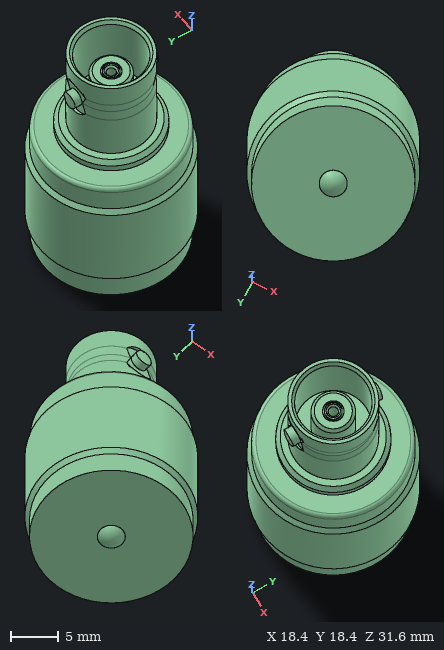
import cadquery as cq
import math

overall_height = 31.63
dome_height = 0.75
rim_lower_top = 3.73
sleeve_top = 15.75
body_top = 19.05
collar_top = 20.37
groove_center = 27.45

sleeve_radius = 9.2
rim_radius = 8.7
rim_step = sleeve_radius - rim_radius
body_edge_fillet = 0.47
dome_base_radius = 1.5

collar_radius = 6.15
collar_chamfer = 0.5

barrel_radius = 4.85
groove_half_width = 1.3
groove_depth = 0.15

socket_radius = 4.1
socket_depth = 8.22
mouth_chamfer_width = 0.32
mouth_chamfer_height = 0.4

insulator_radius = 2.37
insulator_recess = 3.13
insulator_chamfer = 0.35
insulator_bore_radius = 1.15
contact_gap = 0.2
contact_radius = insulator_bore_radius - contact_gap
contact_bore_radius = 0.55
countersink_size = 0.22
contact_bore_depth = 3.8

lug_radius = 1.0
lug_reach = 5.55
lug_flat_radius = 2.12
lug_flat_rim_radius = 2.25
lug_flat_offset = 4.55


def disc(radius, bottom, top):
    return cq.Workplane("XY").workplane(offset=bottom).circle(radius).extrude(top - bottom)


def make_outside():
    """Turned outside shape, from the domed tip up to the mouth of the barrel."""
    dome_radius = (dome_base_radius**2 + dome_height**2) / (2 * dome_height)
    dome_mid_angle = math.asin(dome_base_radius / dome_radius) / 2
    dome_mid = (
        dome_radius * math.sin(dome_mid_angle),
        dome_radius * (1 - math.cos(dome_mid_angle)),
    )
    fillet_inset = body_edge_fillet * (1 - math.sqrt(0.5))
    profile = (
        cq.Workplane("XZ")
        .moveTo(0, 0)
        .threePointArc(dome_mid, (dome_base_radius, dome_height))
        .lineTo(rim_radius, dome_height)
        .lineTo(rim_radius, rim_lower_top)
        .lineTo(sleeve_radius, rim_lower_top + rim_step)
        .lineTo(sleeve_radius, sleeve_top - rim_step)
        .lineTo(rim_radius, sleeve_top)
        .lineTo(rim_radius, body_top - body_edge_fillet)
        .threePointArc(
            (rim_radius - fillet_inset, body_top - fillet_inset),
            (rim_radius - body_edge_fillet, body_top),
        )
        .lineTo(collar_radius, body_top)
        .lineTo(collar_radius, collar_top - collar_chamfer)
        .lineTo(collar_radius - collar_chamfer, collar_top)
        .lineTo(barrel_radius, collar_top)
        .lineTo(barrel_radius, groove_center - groove_half_width)
        .lineTo(barrel_radius - groove_depth, groove_center)
        .lineTo(barrel_radius, groove_center + groove_half_width)
        .lineTo(barrel_radius, overall_height)
        .lineTo(0, overall_height)
        .close()
    )
    return profile.revolve(360, (0, 0, 0), (0, 1, 0))


def make_socket():
    """Space to remove from the barrel, with a tapered mouth."""
    profile = (
        cq.Workplane("XZ")
        .moveTo(0, overall_height - socket_depth)
        .lineTo(socket_radius, overall_height - socket_depth)
        .lineTo(socket_radius, overall_height - mouth_chamfer_height)
        .lineTo(socket_radius + mouth_chamfer_width, overall_height)
        .lineTo(0, overall_height)
        .close()
    )
    return profile.revolve(360, (0, 0, 0), (0, 1, 0))


def make_insulator():
    """Insulator post with a bored contact flush in its end, set apart by a ring groove."""
    foot = overall_height - socket_depth
    tip = overall_height - insulator_recess
    gap_floor = tip - contact_gap
    post = disc(insulator_radius, foot, tip).faces(">Z").edges().chamfer(insulator_chamfer)
    seat = disc(insulator_bore_radius, gap_floor, tip)
    contact = disc(contact_radius, gap_floor, tip)
    bore = disc(contact_bore_radius, tip - contact_bore_depth, tip)
    post = post.cut(seat).union(contact).cut(bore)
    countersink = cq.Solid.makeCone(
        contact_bore_radius,
        contact_bore_radius + countersink_size,
        countersink_size,
        pnt=cq.Vector(0, 0, tip - countersink_size),
    )
    return post.cut(countersink)


def add_lug(part, side):
    """Flat the barrel on one side (-1 or +1) and stand a round-ended lug on it."""
    outward = cq.Vector(0, side, 0)
    axis_point = cq.Vector(0, 0, groove_center)
    flat = cq.Solid.makeCone(
        lug_flat_radius,
        lug_flat_rim_radius,
        barrel_radius - lug_flat_offset,
        pnt=axis_point + outward * lug_flat_offset,
        dir=outward,
    )
    lug_root = (socket_radius + lug_flat_offset) / 2
    lug = cq.Workplane(
        cq.Solid.makeCylinder(
            lug_radius,
            collar_radius - lug_root,
            pnt=axis_point + outward * lug_root,
            dir=outward,
        )
    )
    reach = disc(lug_reach, collar_top, overall_height)
    return part.cut(flat).union(lug.intersect(reach))


result = make_outside().cut(make_socket()).union(make_insulator())
for side in (-1, 1):
    result = add_lug(result, side)